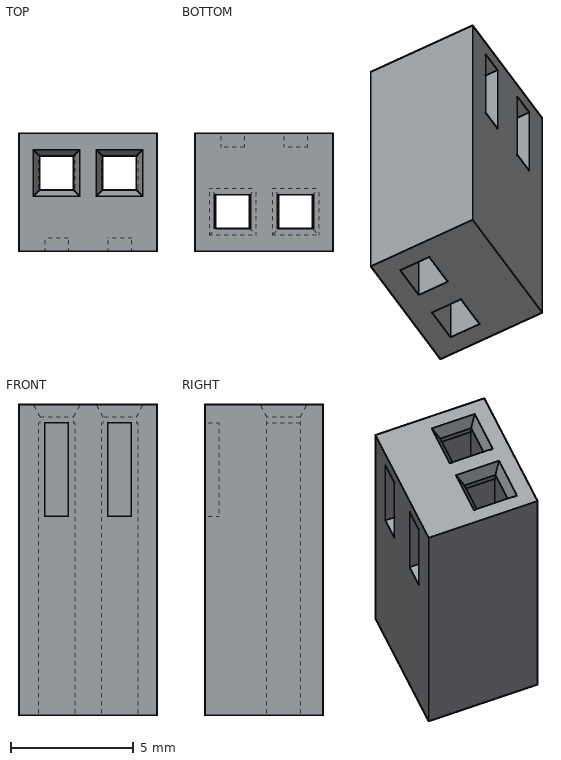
import cadquery as cq

width = 5.64
depth = 4.83
height = 12.7

pitch = 2.57
passage_side = 1.37
passage_y = 0.79

mouth_side = 1.9
mouth_depth = 0.51

cavity_width = 1.5
cavity_top_gap = 0.76

window_width = 0.95
window_height = 3.81
window_top_gap = cavity_top_gap
window_depth = 0.56

contact_positions = (-pitch / 2, pitch / 2)


def passage(x):
    """Square through passage with a tapered mouth and a wider contact cavity below."""
    shaft = cq.Workplane("XY").center(x, passage_y).rect(passage_side, passage_side).extrude(height)
    mouth = (
        cq.Workplane("XY", origin=(x, passage_y, height))
        .rect(mouth_side, mouth_side)
        .workplane(offset=-mouth_depth)
        .rect(passage_side, passage_side)
        .loft(ruled=True)
    )
    cavity = (
        cq.Workplane("XY")
        .center(x, passage_y)
        .rect(cavity_width, passage_side)
        .extrude(height - cavity_top_gap)
    )
    return shaft.union(mouth).union(cavity)


def window(x):
    """Rectangular recess cut inward from the -Y face."""
    bottom = height - window_top_gap - window_height
    return cq.Workplane("XY", origin=(x, -depth / 2, bottom)).box(
        window_width, window_depth, window_height, centered=(True, False, False)
    )


result = cq.Workplane("XY").box(width, depth, height, centered=(True, True, False))
for contact_x in contact_positions:
    result = result.cut(passage(contact_x)).cut(window(contact_x))